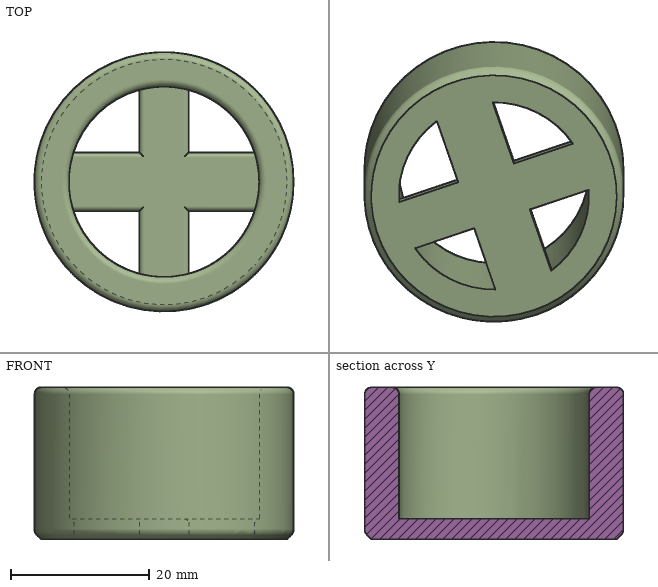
import cadquery as cq

outer_diameter = 37.5
bore_diameter = 27.5
height = 22.0
edge_size = 1.0

cross_thickness = 3.0
bar_x_width = 8.5
bar_y_width = 7.15
cross_edge = 0.7

outer_radius = outer_diameter / 2
bore_radius = bore_diameter / 2


def make_ring():
    """Ring with a rounded rim and a chamfered, blended bottom edge."""
    cylinder = cq.Workplane("XY").circle(outer_radius).extrude(height)
    cylinder = cylinder.faces("<Z").edges().chamfer(edge_size)
    cylinder = cylinder.faces("%CONE").edges(">Z").fillet(edge_size)
    bore = cq.Workplane("XY").circle(bore_radius).extrude(height)
    return cylinder.cut(bore).faces(">Z").edges().fillet(edge_size)


def make_cross():
    """Two crossed bars with rounded upper edges, trimmed to end inside the ring wall."""
    bar_length = outer_diameter
    bar_x = cq.Workplane("XY").rect(bar_length, bar_x_width).extrude(cross_thickness)
    bar_y = cq.Workplane("XY").rect(bar_y_width, bar_length).extrude(cross_thickness)
    cross = bar_x.union(bar_y).faces(">Z").edges().fillet(cross_edge)
    trim_radius = (outer_radius + bore_radius) / 2
    trim = cq.Workplane("XY").circle(trim_radius).extrude(cross_thickness)
    return cross.intersect(trim)


result = make_ring().union(make_cross())